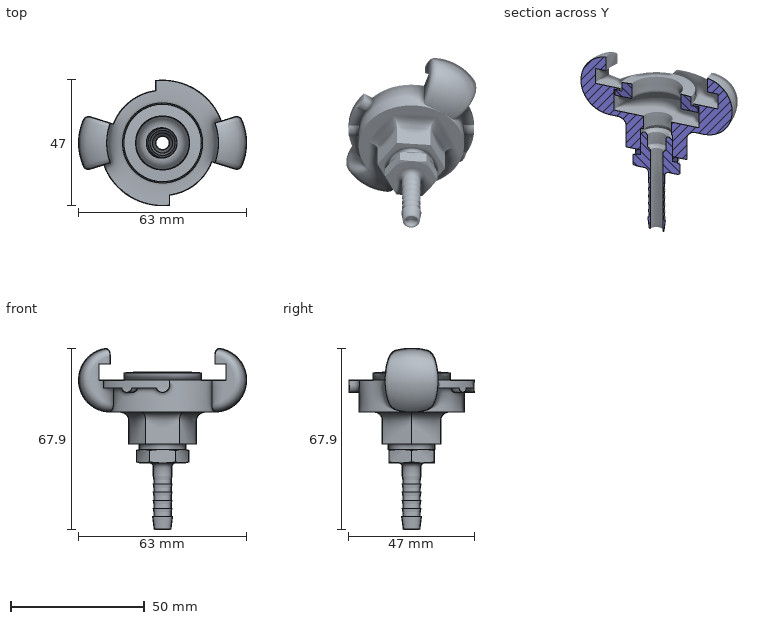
import cadquery as cq
import math

Z_NUT_BOTTOM = 25.0
Z_WASHER_BOTTOM = 30.0
Z_HOUSING_BOTTOM = 32.0
Z_FLANGE_BOTTOM = 44.0
Z_FLANGE_TOP = 56.0
Z_CHAMBER_FLOOR = 46.5
Z_SEAL_BOTTOM = 52.6
Z_LIP_BOTTOM = 55.0
Z_SEAL_SHOULDER = 58.7
Z_SEAL_TOP = 59.0

HOUSING_HEX_FLATS = 22.0
HEX_FILLET = 3.0
FLANGE_RADIUS = 39.5 / 2
LIP_RADIUS = 30.0 / 2
CHAMBER_RADIUS = 35.0 / 2
PASSAGE_RADIUS = 11.45 / 2
PASSAGE_OFFSET_X = -0.38
THREAD_RADIUS = 13.16 / 2
THREAD_TOP = 41.0

LUG_RADIUS = 47.01 / 2
LUG_THICKNESS = 3.0
LUG_SWEEP = 75.0
STOP_RADIUS = 2.6
STOP_BOTTOM_Z = 51.4
STOP_ANGLES = (0.0, 35.0)

CLAW_TIP_X = 62.96 / 2
CLAW_RADIUS = Z_FLANGE_TOP - Z_FLANGE_BOTTOM
CLAW_TOP_Z = Z_FLANGE_TOP + CLAW_RADIUS
CLAW_AXIS_X = CLAW_TIP_X - CLAW_RADIUS
CLAW_CROWN_RADIUS = 21.0
CLAW_SIDE_ANGLE = 17.5
CLAW_HALF_WIDTH_AT_AXIS = 7.4
CLAW_EDGE_FILLET = 2.0
CLAW_HOOK_RADIUS = 20.95
CLAW_SLOT_RADIUS = 25.3
CLAW_SLOT_TOP_Z = 62.0

SEAL_OUTER_RADIUS = 29.0 / 2
SEAL_RIM_RADIUS = 34.5 / 2
SEAL_INNER_RADIUS = 20.0 / 2
SEAL_CHAMFER_WIDTH = 0.2
SEAL_CHAMFER_HEIGHT = 0.6

WASHER_RADIUS = 17.5 / 2

NUT_FLATS = 17.0
NUT_BEVEL_ANGLE = 15.0
TAIL_RADIUS = 7.0 / 2
TAIL_ROOT_RADIUS = 6.5 / 2
TAIL_NECK_FILLET = 1.5
BARB_PITCH = 3.0
BARB_TAPER = 1.5
BARB_COUNT = 5
END_BARB_TOP = 5.0
END_BARB_RADIUS = 7.5 / 2
TIP_RADIUS = 3.15
TIP_CHAMFER = 0.3
TAIL_BORE_RADIUS = 5.0 / 2
TAIL_COUNTERBORE_RADIUS = 7.5 / 2
TAIL_MOUTH_RADIUS = 9.4 / 2
TAIL_TOP = 40.0
TAIL_TOP_RADIUS = 10.9 / 2
COUNTERBORE_CONE_BOTTOM = 33.0


def cylinder(radius, z_bottom, z_top):
    """Upright cylinder on the main axis."""
    return cq.Workplane("XY").workplane(offset=z_bottom).circle(radius).extrude(z_top - z_bottom)


def hexagon(flats, z_bottom, z_top):
    """Upright hexagonal prism with corners on the X axis."""
    across_corners = flats / math.cos(math.radians(30))
    return cq.Workplane("XY").workplane(offset=z_bottom).polygon(6, across_corners).extrude(z_top - z_bottom)


def turned(points):
    """Solid of revolution about Z from (radius, height) points."""
    return cq.Workplane("XZ").polyline(points).close().revolve(360, (0, 0), (0, 1))


def opposite(shape):
    """The same shape half a turn round the main axis."""
    return shape.rotate((0, 0, 0), (0, 0, 1), 180)


def make_claw():
    """Hooked claw on the +X side: a crowned disc with tapered sides, rounded edges and a slot."""
    crown_edge_y = CLAW_RADIUS
    crown_edge_drop = CLAW_CROWN_RADIUS - math.sqrt(CLAW_CROWN_RADIUS**2 - crown_edge_y**2)
    edge_x = CLAW_TIP_X - crown_edge_drop
    disc = (
        cq.Workplane("XY").workplane(offset=Z_FLANGE_TOP)
        .moveTo(CLAW_AXIS_X, -crown_edge_y)
        .lineTo(edge_x, -crown_edge_y)
        .threePointArc((CLAW_TIP_X, 0), (edge_x, crown_edge_y))
        .lineTo(CLAW_AXIS_X, crown_edge_y)
        .close()
        .revolve(360, (CLAW_AXIS_X, 0), (CLAW_AXIS_X, 1))
    )
    slope = math.tan(math.radians(CLAW_SIDE_ANGLE))
    inner_x = CLAW_AXIS_X - CLAW_RADIUS
    inner_y = CLAW_HALF_WIDTH_AT_AXIS - slope * CLAW_RADIUS
    outer_y = CLAW_HALF_WIDTH_AT_AXIS + slope * CLAW_RADIUS
    wedge = (
        cq.Workplane("XY").workplane(offset=Z_FLANGE_TOP)
        .polyline([(inner_x, -inner_y), (CLAW_TIP_X, -outer_y), (CLAW_TIP_X, outer_y), (inner_x, inner_y)])
        .close()
        .extrude(2 * CLAW_RADIUS, both=True)
    )
    claw = disc.intersect(wedge).faces("<Y or >Y").edges().fillet(CLAW_EDGE_FILLET)
    hook_clearance = cylinder(CLAW_HOOK_RADIUS, Z_FLANGE_TOP, CLAW_TOP_Z + CLAW_RADIUS)
    slot = cylinder(CLAW_SLOT_RADIUS, Z_FLANGE_TOP, CLAW_SLOT_TOP_Z)
    flange_space = cylinder(FLANGE_RADIUS, Z_FLANGE_BOTTOM - CLAW_RADIUS, Z_FLANGE_TOP)
    return claw.cut(hook_clearance).cut(slot).cut(flange_space)


def make_stop(angle):
    """Round-bottomed radial block under the lug, turned clockwise from -Y by the angle."""
    centre_z = STOP_BOTTOM_Z + STOP_RADIUS
    profile = (
        cq.Workplane("XZ")
        .moveTo(-STOP_RADIUS, Z_FLANGE_TOP)
        .lineTo(-STOP_RADIUS, centre_z)
        .threePointArc((0, STOP_BOTTOM_Z), (STOP_RADIUS, centre_z))
        .lineTo(STOP_RADIUS, Z_FLANGE_TOP)
        .close()
    )
    return profile.extrude(2 * LUG_RADIUS).rotate((0, 0, 0), (0, 0, 1), -angle)


def make_lug():
    """Sector lug on the -Y side, with two round ramp stops below it; the first stop forms its end."""
    z_bottom = Z_FLANGE_TOP - LUG_THICKNESS
    far = 2 * LUG_RADIUS
    sweep = math.radians(LUG_SWEEP)
    lug = (
        cq.Workplane("XY").workplane(offset=z_bottom)
        .polyline([(0, 0), (0, -far), (-far, -far), (-far * math.sin(sweep), -far * math.cos(sweep))])
        .close()
        .extrude(LUG_THICKNESS)
    )
    for angle in STOP_ANGLES:
        lug = lug.union(make_stop(angle))
    return lug.intersect(cylinder(LUG_RADIUS, Z_FLANGE_BOTTOM, Z_FLANGE_TOP))


def make_housing():
    """Hexagon and flange with two claws, two lugs, a lipped chamber and a slightly offset passage."""
    flange = cylinder(FLANGE_RADIUS, Z_FLANGE_BOTTOM, Z_FLANGE_TOP).rotate((0, 0, 0), (0, 0, 1), 45)
    body = hexagon(HOUSING_HEX_FLATS, Z_HOUSING_BOTTOM, Z_FLANGE_TOP).union(flange)
    inside_corner = cq.selectors.BoxSelector(
        (-FLANGE_RADIUS, -FLANGE_RADIUS, Z_FLANGE_BOTTOM - HEX_FILLET),
        (FLANGE_RADIUS, FLANGE_RADIUS, Z_FLANGE_BOTTOM + HEX_FILLET),
    )
    body = body.edges("%LINE").edges(inside_corner).fillet(HEX_FILLET)
    claw = make_claw()
    lug = make_lug()
    for feature in (claw, opposite(claw), lug, opposite(lug)):
        body = body.union(feature)
    passage = cylinder(PASSAGE_RADIUS, Z_HOUSING_BOTTOM, Z_FLANGE_TOP).translate((PASSAGE_OFFSET_X, 0, 0))
    return (
        body.cut(cylinder(LIP_RADIUS, Z_LIP_BOTTOM, Z_FLANGE_TOP))
        .cut(cylinder(CHAMBER_RADIUS, Z_CHAMBER_FLOOR, Z_LIP_BOTTOM))
        .cut(passage)
        .cut(cylinder(THREAD_RADIUS, Z_HOUSING_BOTTOM, THREAD_TOP))
    )


def make_seal():
    """Seal ring held under the housing lip by its wider rim."""
    return turned([
        (SEAL_INNER_RADIUS, Z_SEAL_BOTTOM + SEAL_CHAMFER_HEIGHT),
        (SEAL_INNER_RADIUS + SEAL_CHAMFER_WIDTH, Z_SEAL_BOTTOM),
        (SEAL_RIM_RADIUS, Z_SEAL_BOTTOM),
        (SEAL_RIM_RADIUS, Z_LIP_BOTTOM),
        (SEAL_OUTER_RADIUS, Z_LIP_BOTTOM),
        (SEAL_OUTER_RADIUS, Z_SEAL_SHOULDER),
        (SEAL_INNER_RADIUS, Z_SEAL_TOP),
    ])


def make_washer():
    """Flat washer between the housing and the nut of the hose tail."""
    return cylinder(WASHER_RADIUS, Z_WASHER_BOTTOM, Z_HOUSING_BOTTOM).cut(
        cylinder(THREAD_RADIUS, Z_WASHER_BOTTOM, Z_HOUSING_BOTTOM))


def make_hose_tail():
    """Bevelled hexagon with a barbed stem below, a threaded spigot above and a stepped bore."""
    corner_radius = NUT_FLATS / 2 / math.cos(math.radians(30))
    bevel_radius = NUT_FLATS / 2
    bevel = (corner_radius - bevel_radius) * math.tan(math.radians(NUT_BEVEL_ANGLE))
    nut = hexagon(NUT_FLATS, Z_NUT_BOTTOM, Z_WASHER_BOTTOM).intersect(turned([
        (0, Z_NUT_BOTTOM),
        (bevel_radius, Z_NUT_BOTTOM),
        (corner_radius, Z_NUT_BOTTOM + bevel),
        (corner_radius, Z_WASHER_BOTTOM - bevel),
        (bevel_radius, Z_WASHER_BOTTOM),
        (0, Z_WASHER_BOTTOM),
    ]))

    stem = cq.Workplane("XZ").moveTo(0, 0).lineTo(TIP_RADIUS - TIP_CHAMFER, 0)
    stem = stem.lineTo(TIP_RADIUS, TIP_CHAMFER).lineTo(END_BARB_RADIUS, END_BARB_TOP)
    for i in range(BARB_COUNT):
        z = END_BARB_TOP + i * BARB_PITCH
        stem = stem.lineTo(TAIL_ROOT_RADIUS, z)
        stem = stem.lineTo(TAIL_ROOT_RADIUS, z + BARB_PITCH - BARB_TAPER)
        stem = stem.lineTo(TAIL_RADIUS, z + BARB_PITCH)
    stem = (
        stem.lineTo(TAIL_RADIUS, Z_NUT_BOTTOM - TAIL_NECK_FILLET)
        .radiusArc((TAIL_RADIUS + TAIL_NECK_FILLET, Z_NUT_BOTTOM), TAIL_NECK_FILLET)
        .lineTo(TAIL_RADIUS + TAIL_NECK_FILLET, Z_WASHER_BOTTOM)
        .lineTo(THREAD_RADIUS, Z_WASHER_BOTTOM)
        .lineTo(THREAD_RADIUS, TAIL_TOP - (THREAD_RADIUS - TAIL_TOP_RADIUS))
        .lineTo(TAIL_TOP_RADIUS, TAIL_TOP)
        .lineTo(0, TAIL_TOP)
        .close()
        .revolve(360, (0, 0), (0, 1))
    )
    bore = turned([
        (0, 0),
        (TAIL_BORE_RADIUS, 0),
        (TAIL_BORE_RADIUS, COUNTERBORE_CONE_BOTTOM),
        (TAIL_COUNTERBORE_RADIUS, COUNTERBORE_CONE_BOTTOM + TAIL_COUNTERBORE_RADIUS - TAIL_BORE_RADIUS),
        (TAIL_COUNTERBORE_RADIUS, TAIL_TOP - (TAIL_MOUTH_RADIUS - TAIL_COUNTERBORE_RADIUS)),
        (TAIL_MOUTH_RADIUS, TAIL_TOP),
        (0, TAIL_TOP),
    ])
    return nut.union(stem).cut(bore)


housing = make_housing()
seal = make_seal()
washer = make_washer()
hose_tail = make_hose_tail()

result = cq.Compound.makeCompound([housing.val(), seal.val(), washer.val(), hose_tail.val()])